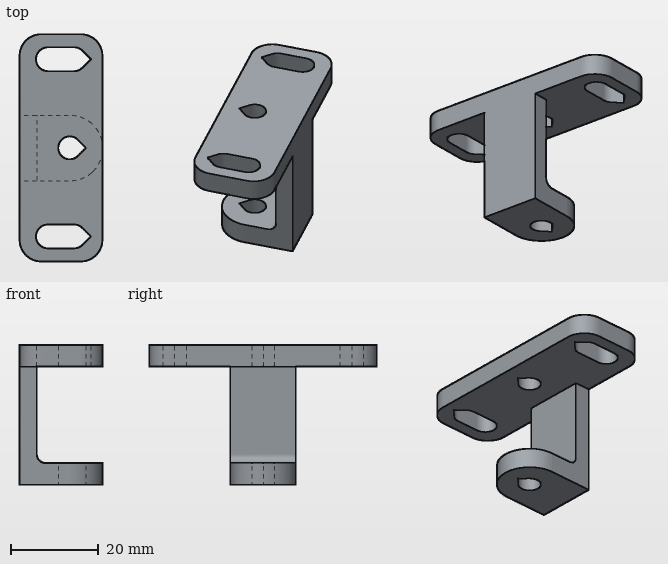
import cadquery as cq
import math

depth = 19.0
plate_length = 52.0
height = 32.0

flange_thickness = 5.0
web_thickness = 4.0
web_width = 15.0

plate_corner_radius = 5.0
inner_fillet_radius = 2.0
foot_radius = web_width / 2

pivot_x = depth - foot_radius
pivot_hole_radius = 2.6
slot_radius = 2.7
slot_travel = 6.0
slot_start_x = (depth - slot_travel) / 2
slot_end_x = (depth + slot_travel) / 2
slot_pitch = 40.5

plate_bottom = height - flange_thickness


def teardrop_slot(start_x, end_x, y, radius, bottom, length):
    """Cutter along Z: a slot round at start_x and pointed past end_x; equal ends give a teardrop."""
    tangent = radius / math.sqrt(2)
    tip_x = end_x + 2 * tangent
    outline = cq.Workplane("XY", origin=(0, y, bottom)).moveTo(start_x, radius)
    outline = outline.threePointArc((start_x - radius, 0), (start_x, -radius))
    if end_x > start_x:
        outline = outline.lineTo(end_x, -radius)
    outline = outline.radiusArc((end_x + tangent, -tangent), -radius)
    outline = outline.lineTo(tip_x, 0)
    outline = outline.lineTo(end_x + tangent, tangent)
    outline = outline.radiusArc((end_x, radius), -radius)
    return outline.close().extrude(length)


def top_plate():
    """Mounting plate with rounded corners."""
    return (
        cq.Workplane("XY", origin=(depth / 2, 0, plate_bottom))
        .rect(depth, plate_length)
        .extrude(flange_thickness)
        .edges("|Z")
        .fillet(plate_corner_radius)
    )


def web_and_foot():
    """L-shaped web and foot, filleted inside, with a half-round foot end."""
    profile = (
        cq.Workplane("XZ")
        .lineTo(depth, 0)
        .lineTo(depth, flange_thickness)
        .lineTo(web_thickness + inner_fillet_radius, flange_thickness)
        .radiusArc((web_thickness, flange_thickness + inner_fillet_radius), inner_fillet_radius)
        .lineTo(web_thickness, plate_bottom)
        .lineTo(0, plate_bottom)
        .close()
        .extrude(web_width / 2, both=True)
    )
    plan = (
        cq.Workplane("XY")
        .moveTo(0, -foot_radius)
        .lineTo(pivot_x, -foot_radius)
        .threePointArc((depth, 0), (pivot_x, foot_radius))
        .lineTo(0, foot_radius)
        .close()
        .extrude(height)
    )
    return profile.intersect(plan)


bracket = top_plate().union(web_and_foot())

bracket = bracket.cut(teardrop_slot(pivot_x, pivot_x, 0, pivot_hole_radius, 0, height))

for side in (-1, 1):
    slot_y = side * slot_pitch / 2
    bracket = bracket.cut(
        teardrop_slot(slot_start_x, slot_end_x, slot_y, slot_radius, plate_bottom, flange_thickness)
    )

result = bracket